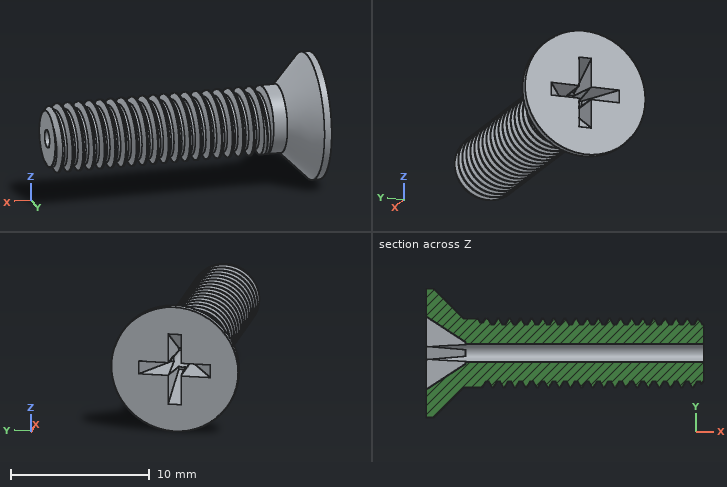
import cadquery as cq
import math

LENGTH = 20.0
THREAD_DIAMETER = 5.0
THREAD_RADIUS = THREAD_DIAMETER / 2
PITCH = 0.8

HEAD_DIAMETER = 9.3
RIM_THICKNESS = 0.55
HEAD_HEIGHT = RIM_THICKNESS + (HEAD_DIAMETER - THREAD_DIAMETER) / 2

SHARP_HEIGHT = PITCH * math.sqrt(3) / 2
THREAD_DEPTH = 5 / 8 * SHARP_HEIGHT
ROOT_RADIUS = THREAD_RADIUS - THREAD_DEPTH
ROOT_WIDTH = PITCH / 4
FLANK_HALF_ANGLE = 30
FLANK_SLOPE = math.tan(math.radians(FLANK_HALF_ANGLE))
GROOVE_OVERSHOOT = 0.05
GROOVE_START = 4.08
GROOVE_START_ANGLE = 36
RUN_IN_ANGLE = 120
RUN_IN_STEPS = 6
TURNS_PER_SEGMENT = 5.5
GROOVE_SEGMENTS = 4

TIP_CHAMFER = 0.45
TIP_CLEARANCE = 0.5
ROD_MARGIN_TURNS = 1.5
ROD_END = GROOVE_START + (GROOVE_SEGMENTS * TURNS_PER_SEGMENT + ROD_MARGIN_TURNS) * PITCH

RECESS_DEPTH = 2.8
SLOT_LENGTH = 5.25
SLOT_WIDTH = 0.95
FLOOR_SLOT_LENGTH = 1.6
FLOOR_SLOT_WIDTH = 0.48
SLOT_ANGLES = (0, 90)

BORE_DIAMETER = 1.28
FLOOR_CONE_DEPTH = 0.06


def turn_about_x(points):
    """Solid of revolution about X from (x, radius) points, with its seam on the -Y side."""
    outline = [(x, -radius) for x, radius in points]
    return cq.Workplane("XY").polyline(outline).close().revolve(360, (0, 0, 0), (1, 0, 0))


def make_head():
    """Rim and countersunk cone, ending at the shank diameter."""
    return turn_about_x([
        (0, 0),
        (0, HEAD_DIAMETER / 2),
        (RIM_THICKNESS, HEAD_DIAMETER / 2),
        (HEAD_HEIGHT, THREAD_RADIUS),
        (HEAD_HEIGHT, 0),
    ])


def groove_section(angle, lift):
    """Groove outline on the helix about Z, at an angle from its start, lifted radially."""
    inner_radius = ROOT_RADIUS + lift
    outer_radius = THREAD_RADIUS + GROOVE_OVERSHOOT + lift
    half_root = ROOT_WIDTH / 2
    half_mouth = half_root + (outer_radius - inner_radius) * FLANK_SLOPE
    rise = PITCH * angle / 360
    corners = [
        (inner_radius, -half_root),
        (outer_radius, -half_mouth),
        (outer_radius, half_mouth),
        (inner_radius, half_root),
    ]
    points = [cq.Vector(radius, 0, rise + offset) for radius, offset in corners]
    outline = cq.Wire.makePolygon(points, close=True)
    return outline.rotate(cq.Vector(0, 0, 0), cq.Vector(0, 0, 1), angle)


def place_on_screw(cutter):
    """Lay a cutter built about Z along X, with its start at the full-depth groove start."""
    along_x = cutter.rotate((0, 0, 0), (0, 1, 0), 90)
    turned = along_x.rotate((0, 0, 0), (1, 0, 0), 90 + GROOVE_START_ANGLE)
    return turned.translate((GROOVE_START, 0, 0))


def make_groove_segment(index):
    """One stretch of the right-hand helical cutter, following on from the stretch before it."""
    segment_length = TURNS_PER_SEGMENT * PITCH
    helix = cq.Wire.makeHelix(PITCH, segment_length, ROOT_RADIUS)
    profile = cq.Workplane("XZ").add(groove_section(0, 0)).toPending()
    segment = profile.sweep(cq.Workplane(obj=helix), isFrenet=True)
    turned = segment.rotate((0, 0, 0), (0, 0, 1), 360 * TURNS_PER_SEGMENT * index)
    return place_on_screw(turned.translate((0, 0, segment_length * index)))


def make_run_in():
    """Lead-in cutter that sinks gradually from the shank surface to the full-depth groove."""
    full_lift = THREAD_DEPTH + GROOVE_OVERSHOOT
    sections = []
    for step in range(RUN_IN_STEPS + 1):
        fraction = step / RUN_IN_STEPS
        sections.append(groove_section(-RUN_IN_ANGLE * fraction, full_lift * fraction))
    return place_on_screw(cq.Workplane(obj=cq.Solid.makeLoft(sections)))


def make_tip_cutter():
    """Everything beyond the tip face and its 45 degree chamfer."""
    clear_radius = THREAD_RADIUS + TIP_CLEARANCE
    return turn_about_x([
        (LENGTH, 0),
        (LENGTH, THREAD_RADIUS - TIP_CHAMFER),
        (LENGTH - TIP_CHAMFER - TIP_CLEARANCE, clear_radius),
        (ROD_END + TIP_CLEARANCE, clear_radius),
        (ROD_END + TIP_CLEARANCE, 0),
    ])


def make_threaded_shank():
    """Threaded rod cut over-long, so the groove ends inside it, then trimmed to the tip."""
    rod = turn_about_x([
        (HEAD_HEIGHT, 0),
        (HEAD_HEIGHT, THREAD_RADIUS),
        (ROD_END, THREAD_RADIUS),
        (ROD_END, 0),
    ])
    rod = rod.cut(make_run_in())
    for index in range(GROOVE_SEGMENTS):
        rod = rod.cut(make_groove_segment(index))
    return rod.cut(make_tip_cutter())


def make_recess_slot(angle):
    """One tapered slot of the cross, turned about the screw axis."""
    slot = (
        cq.Workplane("YZ")
        .rect(SLOT_LENGTH, SLOT_WIDTH)
        .workplane(offset=RECESS_DEPTH)
        .rect(FLOOR_SLOT_LENGTH, FLOOR_SLOT_WIDTH)
        .loft(ruled=True)
    )
    return slot.rotate((0, 0, 0), (1, 0, 0), angle)


def make_recess_floor():
    """Shallow conical floor that falls from the slot ends to the bore, within the cross."""
    cone_radius = math.hypot(FLOOR_SLOT_LENGTH, FLOOR_SLOT_WIDTH) / 2
    cone = cq.Solid.makeCone(
        cone_radius, BORE_DIAMETER / 2, FLOOR_CONE_DEPTH, cq.Vector(RECESS_DEPTH, 0, 0), cq.Vector(1, 0, 0)
    )
    floor_plane = cq.Workplane("YZ", origin=(RECESS_DEPTH, 0, 0))
    along_y = floor_plane.rect(FLOOR_SLOT_LENGTH, FLOOR_SLOT_WIDTH).extrude(FLOOR_CONE_DEPTH)
    along_z = floor_plane.rect(FLOOR_SLOT_WIDTH, FLOOR_SLOT_LENGTH).extrude(FLOOR_CONE_DEPTH)
    cross = along_y.union(along_z)
    return cross.intersect(cq.Workplane(obj=cone))


def make_bore():
    """Through bore along the axis."""
    return cq.Workplane("YZ").circle(BORE_DIAMETER / 2).extrude(LENGTH)


screw = make_head().union(make_threaded_shank())
for slot_angle in SLOT_ANGLES:
    screw = screw.cut(make_recess_slot(slot_angle))
result = screw.cut(make_recess_floor()).cut(make_bore())